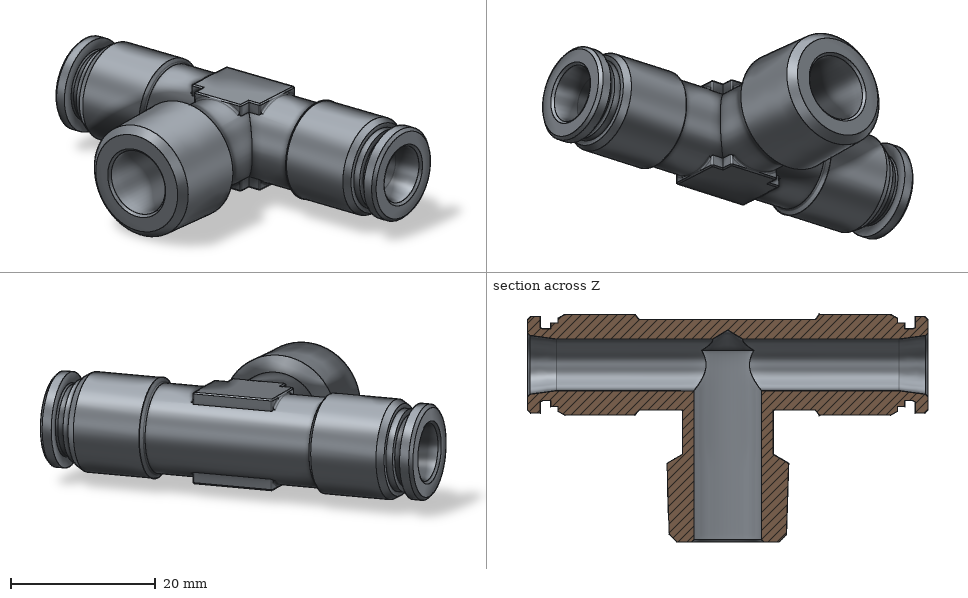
import cadquery as cq
import math


half_length = 27.7
pipe_radius = 6.3
socket_radius = 7.0
flange_radius = 6.7
neck_radius = 5.0
collar_radius = 5.8
mouth_bore_radius = 4.05
through_bore_radius = 3.55
mouth_taper_length = 4.0
mouth_chamfer = 0.35

flange_width = 1.8
flange_chamfer = 0.45
neck_relief = 0.3
neck_relief_height = 0.15
collar_start = 3.2
socket_start = 4.2
socket_chamfer_length = 1.0
socket_chamfer_height = 0.55
left_shoulder = 14.9
right_shoulder = 15.05
shoulder_chamfer_length = 0.35
shoulder_chamfer_height = 0.5
shoulder_foot_length = 0.2

lip_height = 0.09
lip_width = 0.1

branch_length = 24.5
cone_start = 12.35
thread_start = 13.6
thread_radius = 8.44
thread_taper = 1 / 16
thread_chamfer = 1.05
branch_bore_radius = 4.65
branch_bore_chamfer = 0.35
drill_shoulder_y = 2.0
drill_tip_angle = 118.0

pad_half_width = 5.95
pad_half_stem = 4.05
pad_height = 6.5
pad_edge_chamfer = 0.2
pad_corner_round = 0.25
pad_base_fillet = 0.3


def run_end_outline(shoulder, edge_height):
    """Outline of one run end, from the inner edge of its shoulder out to +X.

    The socket's inner edge lies at the given distance from the outer face
    and stands edge_height above the socket.
    """
    def from_face(distance):
        return half_length - distance

    foot_start = shoulder + shoulder_chamfer_length
    return [
        (from_face(foot_start + shoulder_foot_length), pipe_radius),
        (from_face(foot_start), socket_radius - shoulder_chamfer_height),
        (from_face(shoulder), socket_radius + edge_height),
        (from_face(shoulder - lip_width), socket_radius),
        (from_face(socket_start + socket_chamfer_length), socket_radius),
        (from_face(socket_start), socket_radius - socket_chamfer_height),
        (from_face(socket_start), collar_radius),
        (from_face(collar_start), collar_radius),
        (from_face(collar_start), neck_radius),
        (from_face(flange_width + neck_relief), neck_radius),
        (from_face(flange_width), neck_radius + neck_relief_height),
        (from_face(flange_width), flange_radius),
        (from_face(flange_chamfer), flange_radius),
        (from_face(0), flange_radius - flange_chamfer),
        (from_face(0), 0),
    ]


def run_body():
    """Turned outside of the whole run; the ends differ in their shoulders."""
    right = run_end_outline(right_shoulder, lip_height)
    left = [(-x, radius) for x, radius in run_end_outline(left_shoulder, 0)]
    outline = right + left[::-1]
    return cq.Workplane("XY").polyline(outline).close().revolve(360, (0, 0, 0), (1, 0, 0))


def branch_body():
    """Turned outside of the branch, from the centre down to -Y."""
    chamfer_start = branch_length - thread_chamfer
    thread_end_radius = thread_radius - (chamfer_start - thread_start) * thread_taper / 2
    outline = [
        (0, 0),
        (pipe_radius, 0),
        (pipe_radius, -cone_start),
        (thread_radius, -thread_start),
        (thread_end_radius, -chamfer_start),
        (thread_end_radius - thread_chamfer, -branch_length),
        (0, -branch_length),
    ]
    return cq.Workplane("XY").polyline(outline).close().revolve(360, (0, 0, 0), (0, 1, 0))


def base_fillet_ring():
    """Concave fillet between a pipe and the pad wall square to it, around +X."""
    crown = pipe_radius + pad_base_fillet
    outer = pad_half_width + pad_base_fillet
    arc_offset = pad_base_fillet * (1 - math.sqrt(0.5))
    core_radius = pipe_radius - pad_base_fillet
    return (
        cq.Workplane("XY")
        .moveTo(pad_half_width - pad_base_fillet, core_radius)
        .lineTo(outer, core_radius)
        .lineTo(outer, pipe_radius)
        .threePointArc(
            (pad_half_width + arc_offset, pipe_radius + arc_offset),
            (pad_half_width, crown),
        )
        .lineTo(pad_half_width - pad_base_fillet, crown)
        .close()
        .revolve(360, (0, 0, 0), (1, 0, 0))
    )


def pad():
    """Pad block on +Z with its base fillets, reaching down to the axes."""
    outline = [
        (-pad_half_width, pad_half_stem),
        (pad_half_width, pad_half_stem),
        (pad_half_width, -pad_half_stem),
        (pad_half_stem, -pad_half_stem),
        (pad_half_stem, -pad_half_width),
        (-pad_half_stem, -pad_half_width),
        (-pad_half_stem, -pad_half_stem),
        (-pad_half_width, -pad_half_stem),
    ]
    block = cq.Workplane("XY").polyline(outline).close().extrude(pad_height)
    block = block.edges("(|Z and <Y) or (|Z and <X) or (|Z and >X)").fillet(pad_corner_round)
    strip_length = pad_half_width + 2 * pad_base_fillet
    strip_width = 2 * (pad_half_stem - pad_corner_round)
    strip = cq.Workplane("XY").box(
        strip_length, strip_width, pad_height, centered=(False, True, False)
    )
    fillet = base_fillet_ring().intersect(strip)
    for angle in (0, 180, -90):
        block = block.union(fillet.rotate((0, 0, 0), (0, 0, 1), angle))
    return block.faces(">Z").chamfer(pad_edge_chamfer)


def run_bore():
    """Through bore with a tapered mouth and entry chamfer at each end."""
    bore = cq.Workplane("YZ").circle(through_bore_radius).extrude(half_length, both=True)
    taper_end_x = half_length - mouth_taper_length
    rim_radius = mouth_bore_radius + mouth_chamfer
    outline = [
        (taper_end_x, 0),
        (taper_end_x, through_bore_radius),
        (half_length - mouth_chamfer, mouth_bore_radius),
        (half_length, rim_radius),
        (half_length, 0),
    ]
    mouth = cq.Workplane("XY").polyline(outline).close().revolve(360, (0, 0, 0), (1, 0, 0))
    return bore.union(mouth).union(mouth.mirror("YZ"))


def branch_bore():
    """Drilled branch bore with a conical end and a chamfered mouth."""
    tip_length = branch_bore_radius / math.tan(math.radians(drill_tip_angle / 2))
    outline = [
        (0, drill_shoulder_y + tip_length),
        (branch_bore_radius, drill_shoulder_y),
        (branch_bore_radius, branch_bore_chamfer - branch_length),
        (branch_bore_radius + branch_bore_chamfer, -branch_length),
        (0, -branch_length),
    ]
    return cq.Workplane("XY").polyline(outline).close().revolve(360, (0, 0, 0), (0, 1, 0))


body = run_body().union(branch_body())

top_pad = pad()
body = body.union(top_pad).union(top_pad.mirror("XY"))

result = body.cut(run_bore()).cut(branch_bore())